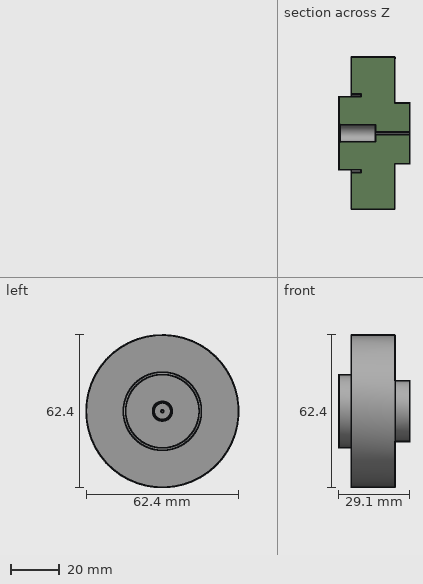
import cadquery as cq

wheel_diameter = 62.4
wheel_width = 18.05
rim_fillet = 0.5

left_hub_diameter = 30.0
left_hub_length = 5.0
right_hub_diameter = 24.95
right_hub_length = 6.0

groove_diameter = 32.0
groove_depth = 4.0

bore_diameter = 6.8
bore_depth = 15.0
bore_chamfer = 0.6
pilot_diameter = 1.0

left_end = -left_hub_length
right_end = wheel_width + right_hub_length
total_length = right_end - left_end


def cylinder(diameter, start, length):
    """Solid cylinder along +X, beginning at X = start."""
    return cq.Workplane("YZ", origin=(start, 0, 0)).circle(diameter / 2).extrude(length)


def make_wheel():
    """Disc with both rim edges rounded and the relief groove cut out."""
    disc = cylinder(wheel_diameter, 0, wheel_width).edges("%CIRCLE").fillet(rim_fillet)
    return disc.cut(cylinder(groove_diameter, 0, groove_depth))


def make_bore():
    """Blind bore with a chamfered mouth on the left hub face."""
    mouth_radius = bore_diameter / 2 + bore_chamfer
    mouth = cq.Workplane(
        cq.Solid.makeCone(
            mouth_radius,
            bore_diameter / 2,
            bore_chamfer,
            pnt=cq.Vector(left_end, 0, 0),
            dir=cq.Vector(1, 0, 0),
        )
    )
    return cylinder(bore_diameter, left_end, bore_depth).union(mouth)


left_hub = cylinder(left_hub_diameter, left_end, left_hub_length + groove_depth)
right_hub = cylinder(right_hub_diameter, wheel_width, right_hub_length)
pilot = cylinder(pilot_diameter, left_end, total_length)

result = make_wheel().union(left_hub).union(right_hub).cut(make_bore()).cut(pilot)
result = result.translate((-(left_end + right_end) / 2, 0, 0))